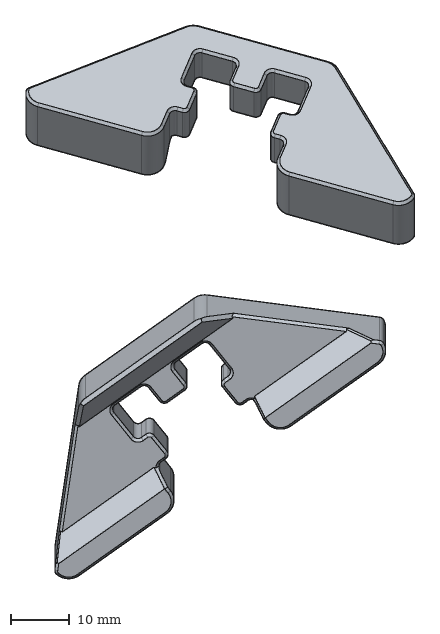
import cadquery as cq
import math

LENGTH = 69.9
DEPTH = 25.2
HEIGHT = 12.0

LARGE_RADIUS = 3.0
SMALL_RADIUS = 1.0
CHAMFER = 0.5

SIDE_ANGLE = math.pi / 4
TIP_ROUND_Y = 2.65

SLOT_WIDTH = 20.5
SLOT_DEPTH = 19.9
KEY_WIDTH = 5.6
SIDE_KEY_REACH = 2.95
BACK_KEY_REACH = 5.0

ROOF_Z = 4.0
ROOF_FRONT_Y = 7.0
ROOF_BACK_Y = 20.55
FRONT_RAMP_RUN = 3.0
BACK_RAMP_RUN = ROOF_Z

BACK_EDGE_Z = ROOF_Z - (DEPTH - ROOF_BACK_Y) * ROOF_Z / BACK_RAMP_RUN
BACK_PRISM_BOTTOM = BACK_EDGE_Z - 2 * CHAMFER

MARGIN = 0.1
CUTTER_SIZE = 3 * LENGTH

TIP_CENTER_X = LENGTH / 2 - SMALL_RADIUS
SIDE_START = (
    TIP_CENTER_X + SMALL_RADIUS * math.cos(SIDE_ANGLE),
    TIP_ROUND_Y + SMALL_RADIUS * math.sin(SIDE_ANGLE),
)
BACK_CORNER_X = SIDE_START[0] - (DEPTH - SIDE_START[1]) * math.tan(SIDE_ANGLE)


def circle_point(center, radius, angle):
    return (center[0] + radius * math.cos(angle), center[1] + radius * math.sin(angle))


def block(bottom):
    """Trapezoid from the bottom height to the top, with rounded tips and its front edge on y = 0."""
    center_gap = LARGE_RADIUS - SMALL_RADIUS
    blend_angle = -math.asin((LARGE_RADIUS - TIP_ROUND_Y) / center_gap)
    small_center = (TIP_CENTER_X, TIP_ROUND_Y)
    large_center = (TIP_CENTER_X - center_gap * math.cos(blend_angle), LARGE_RADIUS)
    large_middle = circle_point(large_center, LARGE_RADIUS, (blend_angle - math.pi / 2) / 2)
    large_end = circle_point(large_center, LARGE_RADIUS, blend_angle)
    small_middle = circle_point(small_center, SMALL_RADIUS, (blend_angle + SIDE_ANGLE) / 2)
    half = (
        cq.Workplane("XY", origin=(0, 0, bottom))
        .lineTo(large_center[0], 0)
        .threePointArc(large_middle, large_end)
        .threePointArc(small_middle, SIDE_START)
        .lineTo(BACK_CORNER_X, DEPTH)
        .lineTo(0, DEPTH)
        .close()
        .extrude(HEIGHT - bottom)
    )
    return half.union(half.mirror("YZ")).clean()


def bar(bottom, x_middle, x_size, y_min, y_max):
    size = (x_size, y_max - y_min, HEIGHT - bottom)
    return cq.Workplane("XY").box(*size, centered=(True, False, False)).translate((x_middle, y_min, bottom))


def slot(bottom):
    """Square slot less the back key and the two side keys."""
    side_key_y = SLOT_DEPTH - SLOT_WIDTH / 2
    side_key_x = (SLOT_WIDTH - SIDE_KEY_REACH) / 2
    side_key_range = (side_key_y - KEY_WIDTH / 2, side_key_y + KEY_WIDTH / 2)
    opening = bar(bottom, 0, SLOT_WIDTH, 0, SLOT_DEPTH)
    opening = opening.cut(bar(bottom, 0, KEY_WIDTH, SLOT_DEPTH - BACK_KEY_REACH, SLOT_DEPTH))
    for side in (-1, 1):
        opening = opening.cut(bar(bottom, side * side_key_x, SIDE_KEY_REACH, *side_key_range))
    return opening


def round_upright_edges(solid, radius, half_width, y_min, y_max):
    region = cq.selectors.BoxSelector(
        (-half_width - MARGIN, y_min - MARGIN, -HEIGHT),
        (half_width + MARGIN, y_max + MARGIN, HEIGHT),
    )
    return solid.edges("|Z").edges(region).fillet(radius)


def prism(bottom):
    """Full outline from the bottom height to the top, with both rims chamfered."""
    solid = block(bottom).cut(slot(bottom))
    solid = round_upright_edges(solid, SMALL_RADIUS, SLOT_WIDTH / 2, SMALL_RADIUS, SLOT_DEPTH)
    solid = round_upright_edges(solid, LARGE_RADIUS, SLOT_WIDTH / 2, 0, 0)
    solid = round_upright_edges(solid, LARGE_RADIUS, BACK_CORNER_X, DEPTH, DEPTH)
    return solid.faces("<Z or >Z").edges().chamfer(CHAMFER)


def half_space(point, normal):
    """Large block filling the side of a plane that its normal points to."""
    plane = cq.Plane(origin=point.toTuple(), normal=normal.toTuple())
    return cq.Workplane(plane).rect(CUTTER_SIZE, CUTTER_SIZE).extrude(CUTTER_SIZE)


def ramp_piece(solid, roof_y, run, walls):
    """Keep the part of a prism beyond a ramp and chamfer the ramp along the given walls.

    The ramp drops from the roof by the roof height over a signed run in y.
    Each wall is a point (x, y) on its right-hand copy and the direction it faces, as an angle from +X.
    """
    facing = -math.copysign(1, run)
    ramp_normal = cq.Vector(0, facing * ROOF_Z, -abs(run)).normalized()
    half = solid.cut(half_space(cq.Vector(0, 0, 0), cq.Vector(-1, 0, 0)))
    half = half.cut(half_space(cq.Vector(0, roof_y, ROOF_Z), ramp_normal))
    for (x, y), angle in walls:
        wall_normal = cq.Vector(math.cos(angle), math.sin(angle), 0)
        edge_point = cq.Vector(x, y, ROOF_Z * (1 - (y - roof_y) / run))
        cosine = wall_normal.dot(ramp_normal)
        inset = CHAMFER * (1 - cosine) / (2 * (1 + cosine))
        chamfer_normal = wall_normal + ramp_normal
        half = half.cut(half_space(edge_point - chamfer_normal * inset, chamfer_normal))
    return half.union(half.mirror("YZ"))


side_wall = (SIDE_START, SIDE_ANGLE)
back_wall = ((0, DEPTH), math.pi / 2)
slot_wall = ((SLOT_WIDTH / 2, 0), math.pi)

plate = prism(ROOF_Z)
front_feet = ramp_piece(prism(0), ROOF_FRONT_Y, -FRONT_RAMP_RUN, [side_wall, slot_wall])
back_lip = ramp_piece(prism(BACK_PRISM_BOTTOM), ROOF_BACK_Y, BACK_RAMP_RUN, [side_wall, back_wall])

result = plate.union(front_feet).union(back_lip).solids()